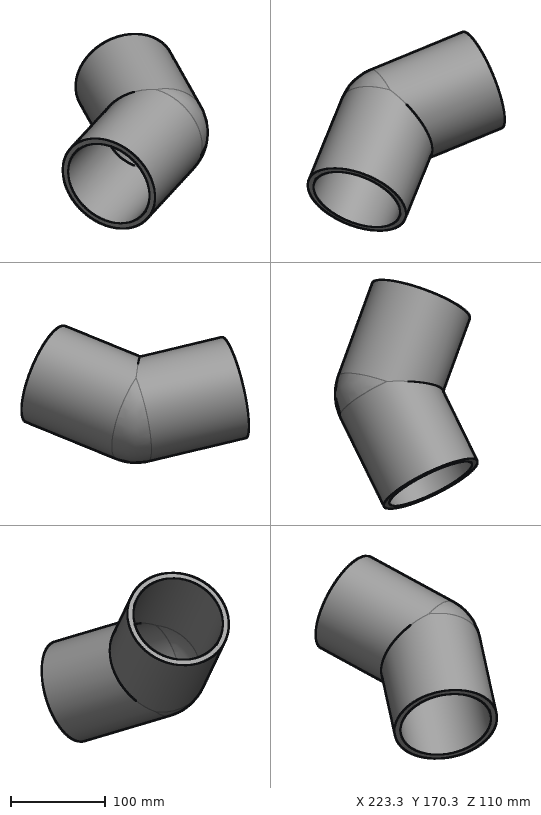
import cadquery as cq
import math

overall_length = 223.3
outer_diameter = 110.0
bore_diameter = 97.0
bend_angle = 45.0

bend = math.radians(bend_angle)
rim_reach = outer_diameter / 2 * math.sin(bend)
leg_length = (overall_length - rim_reach) / (1 + math.cos(bend))


def elbow_solid(diameter):
    """Inlet and outlet cylinders joined by a ball of the same diameter."""
    inlet = cq.Workplane("YZ").circle(diameter / 2).extrude(-leg_length)
    outlet = inlet.rotate((0, 0, 0), (0, 0, 1), 180 - bend_angle)
    ball = cq.Workplane("XY").sphere(diameter / 2)
    return inlet.union(outlet).union(ball)


result = elbow_solid(outer_diameter).cut(elbow_solid(bore_diameter))